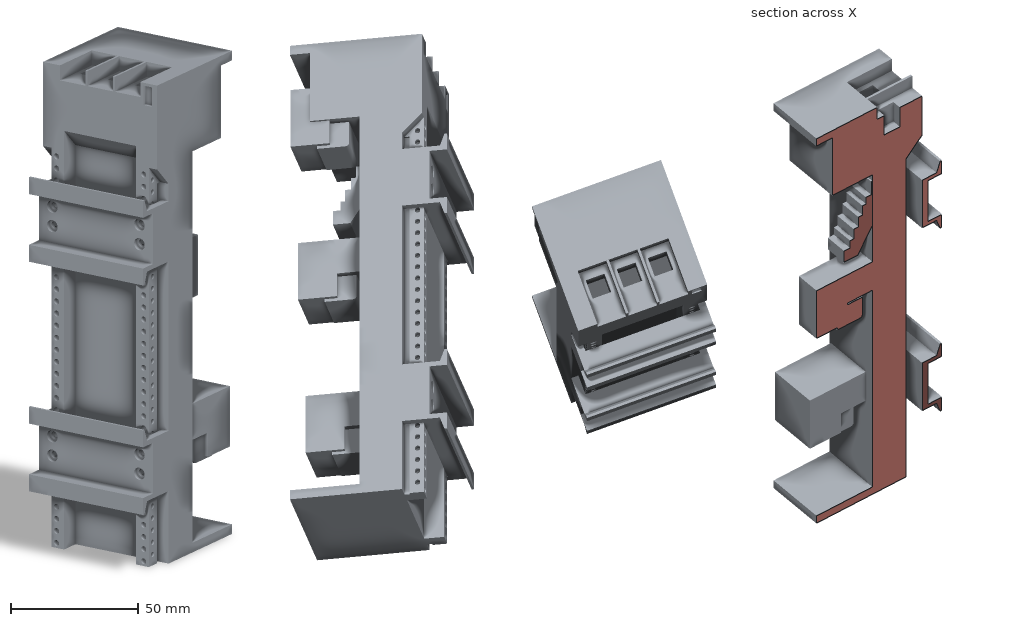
import cadquery as cq
import math


WIDTH = 54.0
HEIGHT = 200.0

HEAD_BACK = 8.0
COLUMN_BACK = 28.0
COLUMN_FRONT = 45.0
STRIP_FRONT = 53.0
PLATE_THICKNESS = 4.0
HEAD_BOTTOM = 166.0

STRIP_INSET = 4.0
STRIP_WIDTH = 6.0
STRIP_HEIGHT = STRIP_FRONT - COLUMN_FRONT
SIDE_SLOPE_BOTTOM = 157.2
CENTRE_SLOPE_BOTTOM = SIDE_SLOPE_BOTTOM + STRIP_HEIGHT
STRIP_INNER = WIDTH / 2 - STRIP_INSET - STRIP_WIDTH
STRIP_OUTER = WIDTH / 2 - STRIP_INSET
UNDERCUT_HEIGHT = 2.2
UNDERCUT_DEPTH = 1.0

HOLE_PITCH = 5.0
HOLE_DEPTH = 2.0
DRILL_POINT_ANGLE = 118.0
FRONT_HOLE_DIAMETER = 2.5
FRONT_HOLE_COUNT = 33
FRONT_HOLE_START = 2.0
FRONT_HOLE_INSET = 6.5
SIDE_HOLE_DIAMETER = 2.2
SIDE_HOLE_COUNT = 32
SIDE_HOLE_START = FRONT_HOLE_START + HOLE_PITCH / 2
SIDE_HOLE_SETBACK = 2.5

POCKET_COUNT = 3
POCKET_PITCH = 13.0
POCKET_WIDTH = 12.0
POCKET_DEPTH = 6.2
POCKET_BACK = 30.5
TERMINAL_SIZE = 7.8
TERMINAL_BACK = 34.0
TERMINAL_DEPTH = 10.0

LABEL_WIDTH = 4.0
LABEL_HEIGHT = 8.0
LABEL_INSET = 2.5
LABEL_TOP_GAP = 1.2
LABEL_DEPTH = 1.5

HOOK_COUNT = 3
HOOK_MARGIN = 1.0
HOOK_STAGGER = 15.0
HOOK_WIDTH = WIDTH - 2 * HOOK_MARGIN - (HOOK_COUNT - 1) * HOOK_STAGGER
HOOK_PITCH = 60.0
TOP_HOOK_SHELF = HEAD_BOTTOM
HOOK_ARM_HEIGHT = 15.0
HOOK_LIP_DEPTH = 15.5
HOOK_LIP_DROP = 10.0
CONTACT_BACK = 10.5
CONTACT_FRONT = 23.2
CONTACT_GAP = 0.5
CONTACT_BELOW_LIP = 1.2
CONTACT_INSET = 1.5
CONTACT_RADIUS = 1.5

LATCH_WIDTH = 20.0

RAIL_BOTTOMS = [30.0, 125.0]
RAIL_HEIGHT = 25.0
RAIL_WEB_FRONT = 56.0
RAIL_WALL = RAIL_WEB_FRONT - STRIP_FRONT
RAIL_FRONT = 63.0
FLANGE_THICKNESS = 2.0
LIP_HEIGHT = 5.0
LIP_ROOT = 2.8
LIP_TIP = 1.0
SCREW_DIAMETER = 3.0
SCREW_HEAD_DIAMETER = 5.0
SCREW_HEAD_DEPTH = 1.5
SCREW_HEIGHTS = [9.0, 17.0]


def box(x_range, depth_range, z_range):
    """Box between two X positions, two depths from the back, and two heights."""
    size_x = x_range[1] - x_range[0]
    size_y = depth_range[1] - depth_range[0]
    size_z = z_range[1] - z_range[0]
    corner = (x_range[0], -depth_range[1], z_range[0])
    return cq.Workplane("XY").box(size_x, size_y, size_z, centered=False).translate(corner)


def side_profile(points, x_start, width):
    """Extrude a (depth, height) outline along +X."""
    outline = [(-depth, height) for depth, height in points]
    return cq.Workplane("YZ").workplane(offset=x_start).polyline(outline).close().extrude(width)


def bores_from_front(positions, front, diameter, depth):
    """Cylinders going back from a given front depth, at (x, z) positions."""
    plane = cq.Workplane("XZ").workplane(offset=front)
    return plane.pushPoints(positions).circle(diameter / 2).extrude(-depth)


def drill(diameter, start, direction):
    """Blind drill cutter with a conical point, entering at `start` along `direction`."""
    radius = diameter / 2
    point_length = radius / math.tan(math.radians(DRILL_POINT_ANGLE / 2))
    outline = [(0, 0), (radius, 0), (radius, HOLE_DEPTH), (0, HOLE_DEPTH + point_length)]
    up = cq.Vector(0, 0, 1)
    plane = cq.Plane(origin=start, xDir=up, normal=up.cross(cq.Vector(*direction)))
    return cq.Workplane(plane).polyline(outline).close().revolve(360, (0, 0), (0, 1)).val()


def make_column():
    """Column with the head on top, an end plate at each end, and a solid front."""
    outline = [
        (0, 0),
        (STRIP_FRONT, 0),
        (STRIP_FRONT, HEIGHT),
        (0, HEIGHT),
        (0, HEIGHT - PLATE_THICKNESS),
        (HEAD_BACK, HEIGHT - PLATE_THICKNESS),
        (HEAD_BACK, HEAD_BOTTOM),
        (COLUMN_BACK, HEAD_BOTTOM),
        (COLUMN_BACK, PLATE_THICKNESS),
        (0, PLATE_THICKNESS),
    ]
    return side_profile(outline, -WIDTH / 2, WIDTH)


def front_channel(x_start, width, slope_bottom):
    """Cutter for a full-height channel in the front that ends in a 45 degree slope."""
    outline = [
        (COLUMN_FRONT, 0),
        (STRIP_FRONT, 0),
        (STRIP_FRONT, slope_bottom + STRIP_HEIGHT),
        (COLUMN_FRONT, slope_bottom),
    ]
    return side_profile(outline, x_start, width)


def cut_strips(base):
    """Leave two perforated strips standing on the front of the column."""
    base = base.cut(front_channel(-STRIP_INNER, 2 * STRIP_INNER, CENTRE_SLOPE_BOTTOM))
    base = base.cut(front_channel(-WIDTH / 2, STRIP_INSET, SIDE_SLOPE_BOTTOM))
    base = base.cut(front_channel(STRIP_OUTER, STRIP_INSET, SIDE_SLOPE_BOTTOM))
    undercut_depths = (COLUMN_FRONT, COLUMN_FRONT + UNDERCUT_HEIGHT)
    stem_outer = STRIP_OUTER - UNDERCUT_DEPTH
    for x_range in [(-STRIP_OUTER, -stem_outer), (stem_outer, STRIP_OUTER)]:
        base = base.cut(box(x_range, undercut_depths, (0, SIDE_SLOPE_BOTTOM)))
    return base


def cut_strip_holes(base):
    """Rows of blind holes in the front and outer face of each strip."""
    front_x = WIDTH / 2 - FRONT_HOLE_INSET
    side_y = -(STRIP_FRONT - SIDE_HOLE_SETBACK)
    drills = []
    for side in (-1, 1):
        for i in range(FRONT_HOLE_COUNT):
            start = (side * front_x, -STRIP_FRONT, FRONT_HOLE_START + i * HOLE_PITCH)
            drills.append(drill(FRONT_HOLE_DIAMETER, start, (0, 1, 0)))
        for i in range(SIDE_HOLE_COUNT):
            start = (side * STRIP_OUTER, side_y, SIDE_HOLE_START + i * HOLE_PITCH)
            drills.append(drill(SIDE_HOLE_DIAMETER, start, (-side, 0, 0)))
    return base.cut(cq.Workplane(cq.Compound.makeCompound(drills)))


def cut_terminal_pockets(base):
    """Three pockets open to the top and front, each with a square terminal well in its floor."""
    floor = HEIGHT - POCKET_DEPTH
    for i in range(POCKET_COUNT):
        x = (i - (POCKET_COUNT - 1) / 2) * POCKET_PITCH
        pocket_x = (x - POCKET_WIDTH / 2, x + POCKET_WIDTH / 2)
        well_x = (x - TERMINAL_SIZE / 2, x + TERMINAL_SIZE / 2)
        well_depths = (TERMINAL_BACK, TERMINAL_BACK + TERMINAL_SIZE)
        base = base.cut(box(pocket_x, (POCKET_BACK, STRIP_FRONT), (floor, HEIGHT)))
        base = base.cut(box(well_x, well_depths, (floor - TERMINAL_DEPTH, floor)))
    return base


def cut_label_recess(base):
    """Small rectangular recess in the top right of the front."""
    right = WIDTH / 2 - LABEL_INSET
    top = HEIGHT - LABEL_TOP_GAP
    depths = (STRIP_FRONT - LABEL_DEPTH, STRIP_FRONT)
    return base.cut(box((right - LABEL_WIDTH, right), depths, (top - LABEL_HEIGHT, top)))


def make_hook(x_start, shelf):
    """Hook reaching back from the column, with a rounded contact around its hanging lip."""
    lip_bottom = shelf - HOOK_LIP_DROP
    arm_outline = [
        (0, lip_bottom),
        (HOOK_LIP_DEPTH, lip_bottom),
        (HOOK_LIP_DEPTH, shelf),
        (COLUMN_BACK, shelf),
        (COLUMN_BACK, shelf + HOOK_ARM_HEIGHT),
        (0, shelf + HOOK_ARM_HEIGHT),
    ]
    arm = side_profile(arm_outline, x_start, HOOK_WIDTH)
    contact_bottom = lip_bottom - CONTACT_BELOW_LIP
    contact = box(
        (x_start + CONTACT_INSET, x_start + HOOK_WIDTH - CONTACT_INSET),
        (CONTACT_BACK, CONTACT_FRONT),
        (contact_bottom, shelf - CONTACT_GAP),
    )
    contact = contact.edges("|X and <Y and <Z").fillet(CONTACT_RADIUS)
    return arm.union(contact)


def make_base():
    base = make_column()
    base = cut_strips(base)
    base = cut_strip_holes(base)
    base = cut_terminal_pockets(base)
    base = cut_label_recess(base)
    for i in range(HOOK_COUNT):
        x_start = -WIDTH / 2 + HOOK_MARGIN + i * HOOK_STAGGER
        base = base.union(make_hook(x_start, TOP_HOOK_SHELF - i * HOOK_PITCH))
    return base


def make_latch():
    """Stepped latch standing against the back of the column."""
    outline = [
        (COLUMN_BACK, 163.0),
        (27.5, 163.0),
        (27.5, 156.2),
        (24.8, 156.2),
        (24.8, 152.8),
        (23.0, 152.8),
        (23.0, 148.0),
        (21.0, 148.0),
        (21.0, 143.0),
        (18.5, 143.0),
        (18.5, 138.0),
        (16.8, 138.0),
        (16.8, 134.2),
        (13.8, 134.2),
        (13.8, 128.2),
        (20.8, 128.2),
        (COLUMN_BACK, 139.5),
    ]
    return side_profile(outline, -LATCH_WIDTH / 2, LATCH_WIDTH)


def make_rail(bottom):
    """Channel rail with outward lips, hollowed behind its web to bridge both strips."""
    top = bottom + RAIL_HEIGHT
    outline = [
        (COLUMN_FRONT, bottom),
        (RAIL_FRONT - LIP_ROOT, bottom),
        (RAIL_FRONT - LIP_TIP, bottom - LIP_HEIGHT),
        (RAIL_FRONT, bottom - LIP_HEIGHT),
        (RAIL_FRONT, bottom + FLANGE_THICKNESS),
        (RAIL_WEB_FRONT, bottom + FLANGE_THICKNESS),
        (RAIL_WEB_FRONT, top - FLANGE_THICKNESS),
        (RAIL_FRONT, top - FLANGE_THICKNESS),
        (RAIL_FRONT, top + LIP_HEIGHT),
        (RAIL_FRONT - LIP_TIP, top + LIP_HEIGHT),
        (RAIL_FRONT - LIP_ROOT, top),
        (COLUMN_FRONT, top),
    ]
    rail = side_profile(outline, -WIDTH / 2, WIDTH)
    inside_x = WIDTH / 2 - RAIL_WALL
    rail = rail.cut(box((-inside_x, inside_x), (COLUMN_FRONT, STRIP_FRONT), (bottom, top)))
    screw_x = WIDTH / 2 - FRONT_HOLE_INSET
    positions = [(x, bottom + z) for x in (-screw_x, screw_x) for z in SCREW_HEIGHTS]
    rail = rail.cut(bores_from_front(positions, RAIL_WEB_FRONT, SCREW_DIAMETER, RAIL_WALL))
    return rail.cut(bores_from_front(positions, RAIL_WEB_FRONT, SCREW_HEAD_DIAMETER, SCREW_HEAD_DEPTH))


base = make_base()
latch = make_latch()
rails = [make_rail(bottom) for bottom in RAIL_BOTTOMS]

bodies = [*base.solids().vals(), latch.val(), *[rail.val() for rail in rails]]
result = cq.Compound.makeCompound(bodies)